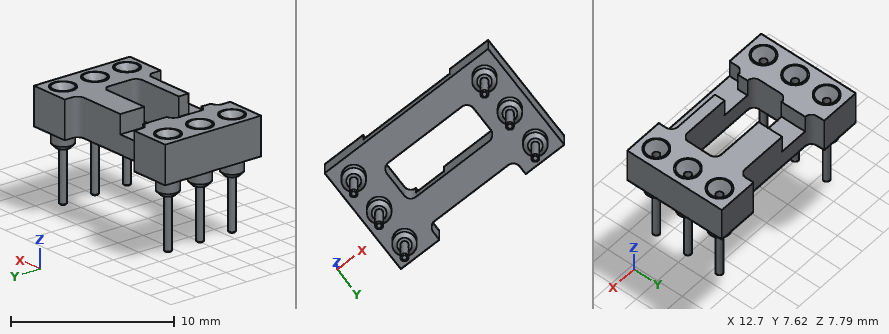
import cadquery as cq

body_length = 12.7
body_width = 7.62
body_height = 2.69
total_height = 7.79

opening_length = 6.7
corner_radius = 0.51
bridge_outer_y = 2.7
window_back_y = 0.8
window_front_y = -1.93
recess_depth = 1.35
gap_start_x = -opening_length / 2 + corner_radius
gap_end_x = -0.67

row_offset = 5.08
pin_pitch = 2.54

head_diameter = 1.73
head_rise = 0.03
head_seat_depth = 1.35
collar_diameter = 1.52
collar_straight = 0.98
collar_chamfer = 0.3
tail_diameter = 0.51
tail_chamfer = 0.1

funnel_diameter = 1.52
funnel_depth = 0.55
bore_diameter = 0.51
bore_bottom_depth = body_height


def box_between(x_start, x_end, y_start, y_end, z_start, z_end):
    """Box spanning the given coordinate ranges."""
    size = (x_end - x_start, y_end - y_start, z_end - z_start)
    return cq.Workplane("XY").box(*size, centered=False).translate((x_start, y_start, z_start))


def central_cutout(y_start, y_end, depth, rounded_edges):
    """Cutout across the opening, reaching down from the top face."""
    half_length = opening_length / 2
    cutout = box_between(-half_length, half_length, y_start, y_end, -depth, 0)
    return cutout.edges(rounded_edges).fillet(corner_radius)


def make_body():
    half_length = body_length / 2
    half_width = body_width / 2
    body = box_between(-half_length, half_length, -half_width, half_width, -body_height, 0)
    window = central_cutout(window_front_y, window_back_y, body_height, "|Z")
    back_notch = central_cutout(bridge_outer_y, half_width, body_height, "(|Z) and (<Y)")
    front_recess = central_cutout(-half_width, -bridge_outer_y, recess_depth, "(|Z) and (>Y)")
    bridge_gap = box_between(gap_start_x, gap_end_x, -bridge_outer_y, bridge_outer_y, -recess_depth, 0)
    return body.cut(window).cut(back_notch).cut(front_recess).cut(bridge_gap)


def revolve_about_z(outline):
    """Solid of revolution from a closed outline of (radius, height) points."""
    return cq.Workplane("XZ").polyline(outline).close().revolve(360, (0, 0), (0, 1))


def make_pin():
    """Contact pin with its head at the top and its tail pointing down."""
    head_radius = head_diameter / 2
    collar_radius = collar_diameter / 2
    tail_radius = tail_diameter / 2
    bore_radius = bore_diameter / 2
    tail_end = head_rise - total_height
    chamfer_top = -body_height - collar_straight
    chamfer_bottom = chamfer_top - collar_chamfer
    outline = [
        (0, -bore_bottom_depth),
        (bore_radius, -bore_bottom_depth),
        (bore_radius, -funnel_depth),
        (funnel_diameter / 2, head_rise),
        (head_radius, head_rise),
        (head_radius, -head_seat_depth),
        (collar_radius, -head_seat_depth),
        (collar_radius, chamfer_top),
        (collar_radius - collar_chamfer, chamfer_bottom),
        (tail_radius, chamfer_bottom),
        (tail_radius, tail_end + tail_chamfer),
        (tail_radius - tail_chamfer, tail_end),
        (0, tail_end),
    ]
    return revolve_about_z(outline)


def make_pin_seat():
    """Space in the body that the head and shank of a pin fill."""
    head_radius = head_diameter / 2
    collar_radius = collar_diameter / 2
    outline = [
        (0, 0),
        (head_radius, 0),
        (head_radius, -head_seat_depth),
        (collar_radius, -head_seat_depth),
        (collar_radius, -body_height),
        (0, -body_height),
    ]
    return revolve_about_z(outline)


pin = make_pin()
pin_seat = make_pin_seat()
pin_places = [(x, y, 0) for x in (-row_offset, row_offset) for y in (-pin_pitch, 0, pin_pitch)]

result = make_body()
for place in pin_places:
    result = result.cut(pin_seat.translate(place)).union(pin.translate(place))